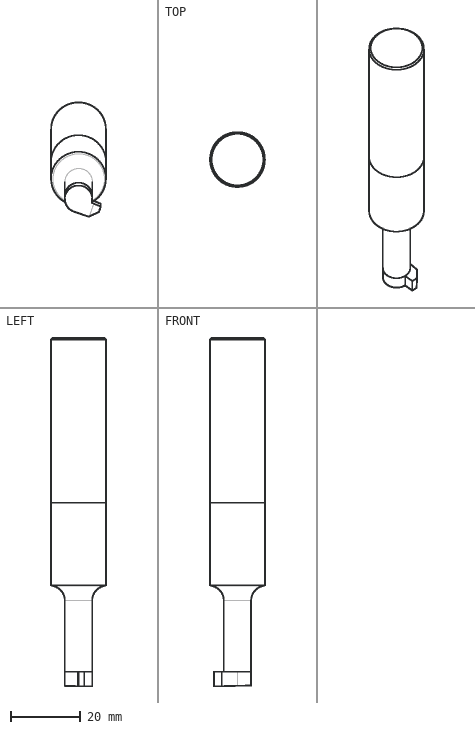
import cadquery as cq

total_length = 101.0
shank_radius = 8.0
neck_radius = shank_radius / 2

head_height = 4.2
flare_bottom = 24.9
flare_top = 29.3
shank_bottom = 53.2

top_chamfer = 0.5
rim_bevel_width = 0.5
rim_bevel_height = 0.2
flare_radius = 4.3

tip_reach = 6.9
tip_corner = 2.3
rake_rise = 0.2
bottom_rise = 0.2


def make_shank():
    """Plain cylindrical shank with a chamfered upper rim."""
    return (
        cq.Workplane("XY", origin=(0, 0, shank_bottom))
        .circle(shank_radius)
        .extrude(total_length - shank_bottom)
        .faces(">Z")
        .chamfer(top_chamfer)
    )


def make_bar():
    """Body that narrows from the shank to the neck through a concave flare."""
    return (
        cq.Workplane("XZ")
        .moveTo(0, head_height)
        .lineTo(neck_radius, head_height)
        .lineTo(neck_radius, flare_bottom)
        .radiusArc((shank_radius - rim_bevel_width, flare_top - rim_bevel_height), flare_radius)
        .lineTo(shank_radius, flare_top)
        .lineTo(shank_radius, shank_bottom)
        .lineTo(0, shank_bottom)
        .close()
        .revolve(360, (0, 0, 0), (0, 1, 0))
    )


def make_cutting_head():
    """Round head with a side tip: raked front, bevelled corner and relieved underside."""
    round_head = cq.Workplane("XY").circle(neck_radius).extrude(head_height)
    tip = (
        cq.Workplane("XY")
        .moveTo(0, rake_rise)
        .lineTo(-neck_radius, rake_rise)
        .lineTo(-tip_reach, 0)
        .lineTo(-tip_reach, tip_corner - neck_radius)
        .lineTo(tip_corner - tip_reach, -neck_radius)
        .lineTo(0, -neck_radius)
        .close()
        .extrude(head_height)
    )
    relief = (
        cq.Workplane("XZ")
        .moveTo(tip_corner - tip_reach, 0)
        .lineTo(neck_radius, 0)
        .lineTo(neck_radius, bottom_rise)
        .close()
        .extrude(neck_radius, both=True)
    )
    return round_head.union(tip).cut(relief)


shank = make_shank()
bar = make_bar()
cutting_head = make_cutting_head()

result = cq.Compound.makeCompound([shank.val(), bar.val(), cutting_head.val()])